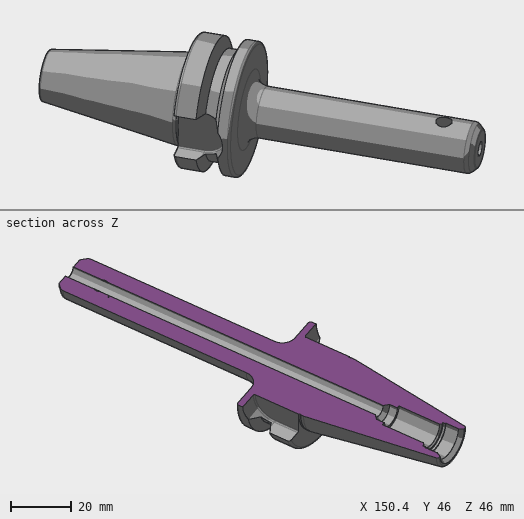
import cadquery as cq
import math

total_length = 150.4
taper_length = 48.5
relief_shoulder = 49.6
flange_start = 50.4
groove_start = 58.2
groove_floor_start = 60.3
groove_floor_end = 64.0
groove_end = 66.0
flange_end = 70.4
end_chamfer_start = 148.1

taper_small_diameter = 17.6
taper_slope = 7 / 24
relief_diameter = 31.5
flange_diameter = 46.0
groove_diameter = 38.2
shank_diameter = 17.6
shank_tip_diameter = 13.1

taper_end_round = 0.8
flange_front_round = 0.9
flange_back_round = 0.9
neck_fillet = 5.0
shank_chamfer_round = 2.1
shank_tip_round = 0.6

slot_width = 16.5
slot_floor_offset = 16.0
slot_floor_fillet = 0.5
slot_end = 67.8
slot_end_radius = slot_width / 2

socket_mouth_diameter = 15.0
socket_mouth_half_angle = math.radians(30)
socket_recess_diameter = 13.1
socket_recess_end = 6.6
socket_diameter = 12.5
socket_depth = 7.5
thread_diameter = 10.1
thread_chamfer = 0.6
thread_end = 24.0
pilot_diameter = 8.0
pilot_end = 27.0
coolant_diameter = 4.8
cross_hole_diameter = 5.4
cross_hole_x = 137.9


def make_body():
    """Revolve the taper, grooved flange and shank about X."""
    taper_large_diameter = taper_small_diameter + taper_slope * taper_length
    flange_radius = flange_diameter / 2
    groove_radius = groove_diameter / 2
    shank_radius = shank_diameter / 2
    profile = (
        cq.Workplane("XY")
        .lineTo(0, taper_small_diameter / 2)
        .lineTo(taper_length, taper_large_diameter / 2)
        .lineTo(relief_shoulder, taper_large_diameter / 2)
        .lineTo(relief_shoulder, relief_diameter / 2)
        .lineTo(flange_start, relief_diameter / 2)
        .lineTo(flange_start, flange_radius)
        .lineTo(groove_start, flange_radius)
        .lineTo(groove_floor_start, groove_radius)
        .lineTo(groove_floor_end, groove_radius)
        .lineTo(groove_end, flange_radius)
        .lineTo(flange_end, flange_radius)
        .lineTo(flange_end, shank_radius)
        .lineTo(end_chamfer_start, shank_radius)
        .lineTo(total_length, shank_tip_diameter / 2)
        .lineTo(total_length, 0)
        .close()
    )
    return profile.revolve(360, (0, 0, 0), (1, 0, 0))


def round_edge(body, x, diameter, radius):
    """Round the circular edge of the given diameter at position x."""
    margin = 0.08
    reach = diameter / 2 + margin
    selector = cq.selectors.BoxSelector(
        (x - margin, -reach, -reach), (x + margin, reach, reach), boundingbox=True
    )
    ring = body.edges(selector).edges(cq.selectors.RadiusNthSelector(-1))
    return body.newObject(ring.vals()).fillet(radius)


def make_drive_slot(side):
    """Slot open toward the taper, flat floored, with a half-round end."""
    slot_depth = flange_diameter / 2
    center_x = slot_end - slot_end_radius
    straight = cq.Workplane("XY").box(
        center_x - flange_start, slot_depth, slot_width, centered=(False, False, True)
    )
    straight = straight.translate((flange_start, slot_floor_offset, 0))
    rounded = cq.Workplane("XZ", origin=(center_x, slot_floor_offset, 0))
    rounded = rounded.circle(slot_end_radius).extrude(-slot_depth)
    slot = straight.union(rounded)
    floor_edges = slot.faces("<Y").edges("not(<X)")
    slot = slot.newObject(floor_edges.vals()).fillet(slot_floor_fillet)
    return slot if side > 0 else slot.mirror("XZ")


def make_bore():
    """Pull-stud socket, thread bore, conical drill end and coolant passage."""
    thread_radius = thread_diameter / 2
    mouth_radial_width = (socket_mouth_diameter - socket_recess_diameter) / 2
    mouth_depth = mouth_radial_width / math.tan(socket_mouth_half_angle)
    profile = (
        cq.Workplane("XY")
        .lineTo(0, socket_mouth_diameter / 2)
        .lineTo(mouth_depth, socket_recess_diameter / 2)
        .lineTo(socket_recess_end, socket_recess_diameter / 2)
        .lineTo(socket_recess_end, socket_diameter / 2)
        .lineTo(socket_depth, socket_diameter / 2)
        .lineTo(socket_depth, thread_radius + thread_chamfer)
        .lineTo(socket_depth + thread_chamfer, thread_radius)
        .lineTo(thread_end, thread_radius)
        .lineTo(thread_end, pilot_diameter / 2)
        .lineTo(pilot_end, pilot_diameter / 2)
        .lineTo(pilot_end + (pilot_diameter - coolant_diameter) / 2, coolant_diameter / 2)
        .lineTo(total_length, coolant_diameter / 2)
        .lineTo(total_length, 0)
        .close()
    )
    return profile.revolve(360, (0, 0, 0), (1, 0, 0))


def make_cross_hole():
    """Radial hole from the top of the shank into the coolant passage."""
    hole = cq.Workplane("XY", origin=(cross_hole_x, 0, 0))
    return hole.circle(cross_hole_diameter / 2).extrude(shank_diameter)


body = make_body()
body = round_edge(body, 0, taper_small_diameter, taper_end_round)
body = round_edge(body, flange_start, flange_diameter, flange_front_round)
body = round_edge(body, flange_end, flange_diameter, flange_back_round)
body = round_edge(body, flange_end, shank_diameter, neck_fillet)
body = round_edge(body, end_chamfer_start, shank_diameter, shank_chamfer_round)
body = round_edge(body, total_length, shank_tip_diameter, shank_tip_round)

for side in (1, -1):
    body = body.cut(make_drive_slot(side))

result = body.cut(make_bore()).cut(make_cross_hole())